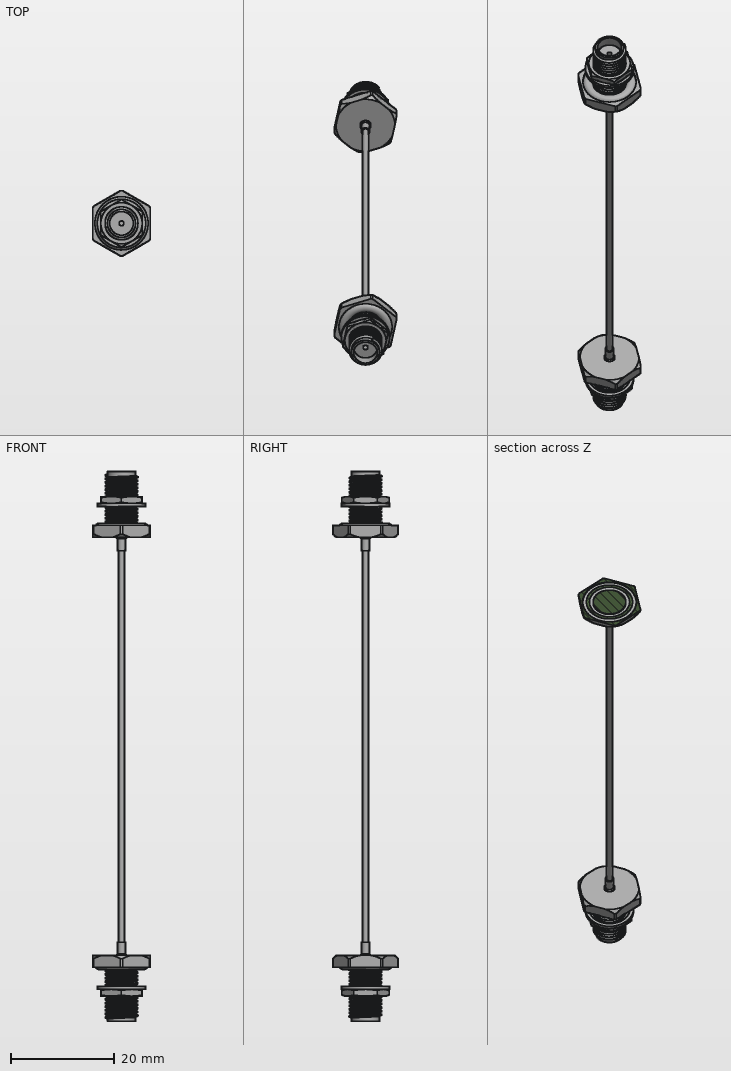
import cadquery as cq
import math

overall_length = 106.3
end_z = overall_length / 2

cable_diameter = 1.2

flange_across_flats = 11.2
flange_corner_diameter = 12.7
barrel_length = 10.4
flange_front_z = end_z - barrel_length
flange_thickness = 2.3
flange_back_z = flange_front_z - flange_thickness
flange_chamfer = 0.6

sleeve_diameter = 1.6
sleeve_length = 2.5
sleeve_foot = 0.27
sleeve_end_z = flange_back_z - sleeve_length

thread_diameter = 6.4
thread_root_diameter = 5.4
thread_pitch = 0.69
thread_angle = 60.0
thread_crest_width = thread_pitch / 8
thread_embedding = 0.04
thread_start_gap = 0.3
thread_end_gap = 0.7
thread_bottom_z = flange_front_z + thread_start_gap
thread_top_z = end_z - thread_end_gap

bore_diameter = 4.6
bore_depth = 2.1
socket_diameter = 0.94
socket_depth = 2.7

groove_diameter = 10.3
ring_section = (groove_diameter - thread_diameter) / 2
ring_centre_radius = (groove_diameter + thread_diameter) / 4
ring_protrusion = 0.4
groove_depth = ring_section - ring_protrusion

washer_diameter = 9.4
washer_thickness = 0.6
washer_countersink_diameter = 8.0
washer_countersink_depth = 0.5
washer_gap = 3.6
washer_z = flange_front_z + washer_gap
nut_across_flats = 8.0
nut_thickness = 1.3
nut_chamfer_height = 0.2
nut_z = washer_z + washer_thickness


def cylinder(diameter, z, height):
    """Cylinder on the Z axis, from z up."""
    return cq.Workplane("XY").workplane(offset=z).circle(diameter / 2).extrude(height)


def cone(lower_diameter, upper_diameter, z, height):
    """Truncated cone on the Z axis, from z up."""
    lower_circle = cq.Workplane("XY").workplane(offset=z).circle(lower_diameter / 2)
    return lower_circle.workplane(offset=height).circle(upper_diameter / 2).loft()


def hexagon(across_flats, z, height):
    """Hexagonal prism on the Z axis, from z up, with corners at +Y and -Y."""
    corner_diameter = across_flats / math.cos(math.pi / 6)
    prism = cq.Workplane("XY").workplane(offset=z).polygon(6, corner_diameter).extrude(height)
    return prism.rotate((0, 0, 0), (0, 0, 1), 90)


def chamfered_disc(diameter, z, height, chamfer):
    """Disc with its lower rim chamfered; crossed with a hexagon it trims the corners."""
    return cylinder(diameter, z, height).faces("<Z").edges().chamfer(chamfer)


def make_thread():
    """Right-handed helical ridge, its foot sunk slightly into the barrel."""
    root_radius = thread_root_diameter / 2
    foot_radius = root_radius - thread_embedding
    crest_radius = thread_diameter / 2
    half_crest = thread_crest_width / 2
    half_foot = half_crest + (crest_radius - foot_radius) * math.tan(math.radians(thread_angle / 2))
    helix = cq.Wire.makeHelix(thread_pitch, thread_top_z - thread_bottom_z, root_radius)
    profile = cq.Workplane("XZ").polyline(
        [
            (foot_radius, -half_foot),
            (crest_radius, -half_crest),
            (crest_radius, half_crest),
            (foot_radius, half_foot),
        ]
    ).close()
    ridge = profile.sweep(cq.Workplane(helix), isFrenet=True)
    return ridge.translate((0, 0, thread_bottom_z))


def make_housing():
    flange = hexagon(flange_across_flats, flange_back_z, flange_thickness).intersect(
        chamfered_disc(flange_corner_diameter, flange_back_z, flange_thickness, flange_chamfer)
    )
    ring_groove = cylinder(groove_diameter, flange_front_z - groove_depth, groove_depth).cut(
        cylinder(thread_diameter, flange_front_z - groove_depth, groove_depth)
    )
    barrel = cylinder(thread_root_diameter, flange_front_z, barrel_length).union(make_thread())
    sleeve = cylinder(sleeve_diameter, sleeve_end_z, sleeve_length)
    foot_diameter = sleeve_diameter + 2 * sleeve_foot
    foot = cone(sleeve_diameter, foot_diameter, flange_back_z - sleeve_foot, sleeve_foot)
    bore_floor_z = end_z - bore_depth
    return (
        flange.cut(ring_groove)
        .union(barrel)
        .union(sleeve)
        .union(foot)
        .cut(cylinder(bore_diameter, bore_floor_z, bore_depth))
        .cut(cylinder(socket_diameter, bore_floor_z - socket_depth, socket_depth))
        .cut(cylinder(cable_diameter, sleeve_end_z, sleeve_length))
    )


def make_sealing_ring():
    centre_z = flange_front_z - groove_depth + ring_section / 2
    section = cq.Workplane("XZ").center(ring_centre_radius, centre_z).circle(ring_section / 2)
    return section.revolve(360, (-ring_centre_radius, 0), (-ring_centre_radius, 1))


def make_washer():
    countersink = cone(washer_countersink_diameter, thread_diameter, washer_z, washer_countersink_depth)
    return (
        cylinder(washer_diameter, washer_z, washer_thickness)
        .cut(cylinder(thread_diameter, washer_z, washer_thickness))
        .cut(countersink)
    )


def make_nut():
    corner_radius = nut_across_flats / math.sqrt(3)
    face_radius = nut_across_flats / 2
    corner_trim = (
        cylinder(2 * corner_radius, nut_z, nut_thickness)
        .edges()
        .chamfer(nut_chamfer_height, corner_radius - face_radius)
    )
    return (
        hexagon(nut_across_flats, nut_z, nut_thickness)
        .intersect(corner_trim)
        .cut(cylinder(thread_diameter, nut_z, nut_thickness))
    )


cable = cylinder(cable_diameter, -flange_back_z, 2 * flange_back_z)

bodies = [cable.val()]
for upper_part in (make_housing(), make_sealing_ring(), make_washer(), make_nut()):
    for turn in (0, 180):
        bodies.append(upper_part.rotate((0, 0, 0), (1, 0, 0), turn).val())

result = cq.Compound.makeCompound(bodies)